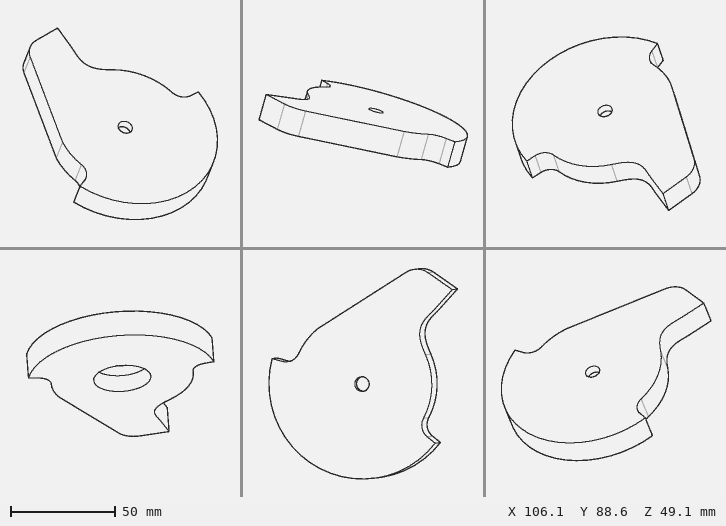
import cadquery as cq
import math

tilt_angle = 20.0
thickness = 12.9
lobe_radius = 45.6
hub_radius = 34.3
upper_step_angle = 86.1
lower_step_angle = -71.0
step_fillet = 7.0

nose_reach = 62.6
nose_top = 10.9
nose_top_slope_angle = -8.4
nose_bottom = -9.9
nose_fillet = 10.0
throat_points = [(-37.0, 9.1), (-41.1, 8.0), (-47.2, 8.6)]
throat_hub_angle = 148.8
nose_hub_angle = -106.2

bore_diameter = 7.0
counterbore_diameter = 27.5
counterbore_depth = 8.5


def polar(radius, angle):
    """Point at a radius and an angle in degrees about the hub axis."""
    return (
        radius * math.cos(math.radians(angle)),
        radius * math.sin(math.radians(angle)),
    )


def arc_middle(radius, start_angle, end_angle):
    return polar(radius, (start_angle + end_angle) / 2)


upper_root = polar(hub_radius, upper_step_angle)
lower_root = polar(hub_radius, lower_step_angle)
throat_start = polar(hub_radius, throat_hub_angle)
hub_tangent = polar(1, throat_hub_angle + 90)
nose_tangent = polar(1, 180 + nose_top_slope_angle)
nose_corner = (-nose_reach, nose_bottom)

plate = (
    cq.Workplane("XY")
    .moveTo(*polar(lobe_radius, lower_step_angle))
    .threePointArc(
        arc_middle(lobe_radius, lower_step_angle, upper_step_angle),
        polar(lobe_radius, upper_step_angle),
    )
    .lineTo(*upper_root)
    .threePointArc(
        arc_middle(hub_radius, upper_step_angle, throat_hub_angle),
        throat_start,
    )
    .spline(
        [throat_start, *throat_points, (-nose_reach, nose_top)],
        tangents=[hub_tangent, nose_tangent],
    )
    .lineTo(*nose_corner)
    .lineTo(*polar(hub_radius, nose_hub_angle))
    .threePointArc(arc_middle(hub_radius, nose_hub_angle, lower_step_angle), lower_root)
    .close()
    .extrude(thickness)
)

rounded_corners = [
    (upper_root, step_fillet),
    (lower_root, step_fillet),
    (nose_corner, nose_fillet),
]
for (corner_x, corner_y), radius in rounded_corners:
    corner_edge = cq.selectors.NearestToPointSelector((corner_x, corner_y, thickness / 2))
    plate = plate.edges("|Z").edges(corner_edge).fillet(radius)

bore = cq.Workplane("XY").circle(bore_diameter / 2).extrude(thickness)
counterbore = cq.Workplane("XY").circle(counterbore_diameter / 2).extrude(counterbore_depth)
plate = plate.cut(bore).cut(counterbore)

result = plate.rotate((0, 0, 0), (0, 1, 0), tilt_angle)